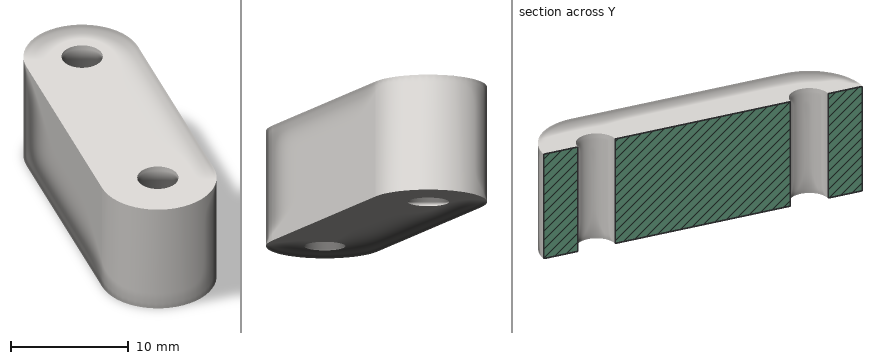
import cadquery as cq

length = 30.0
width = length / 3
height = width
hole_diameter = 3.5

hole_spacing = length - width

body = cq.Workplane("XY").slot2D(length, width).extrude(height)

result = (
    body.faces(">Z")
    .workplane()
    .pushPoints([(-hole_spacing / 2, 0), (hole_spacing / 2, 0)])
    .hole(hole_diameter)
)